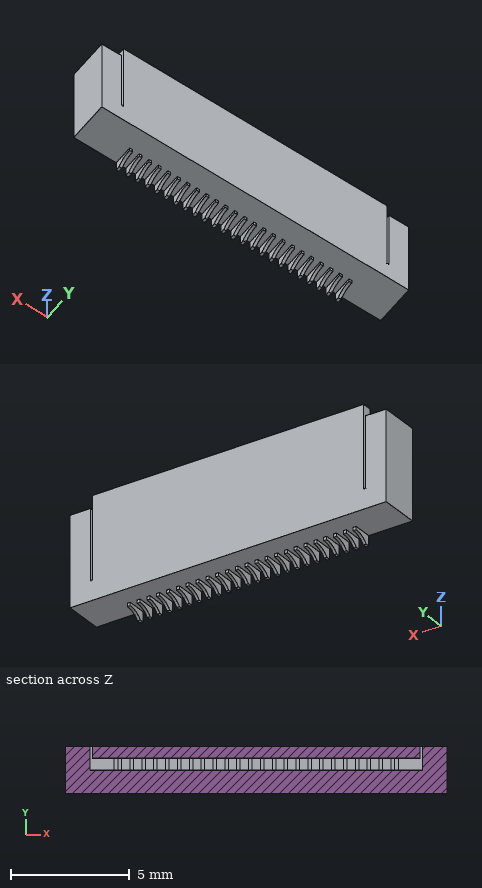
import cadquery as cq

housing_length = 16.1
housing_depth = 2.0
housing_height = 4.5
front_face = -housing_depth / 2
back_face = housing_depth / 2

slot_length = 14.0
slot_front = 0.0
floor_thickness = 1.0

bar_length = 13.81
bar_thickness = 0.5
bar_rise = 0.6
bar_front = back_face - bar_thickness

contact_count = 24
contact_row_length = 11.5
contact_pitch = contact_row_length / (contact_count - 1)
contact_thickness = 0.15
contact_centres = [
    (i - (contact_count - 1) / 2) * contact_pitch for i in range(contact_count)
]

recess_length = 12.0
recess_depth = 0.2

tail_drop = 0.5
tail_depth = 0.97
tail_toe_depth = 0.21
tail_heel_drop = 0.16
tail_arc_middle = (0.58, 0.23)


def box_between(length, y_front, y_back, z_bottom, z_top):
    """Box centred on X, given by its Y and Z limits."""
    return (
        cq.Workplane("XY")
        .box(length, y_back - y_front, z_top - z_bottom, centered=(True, False, False))
        .translate((0, y_front, z_bottom))
    )


def make_housing():
    housing = box_between(housing_length, front_face, back_face, 0, housing_height)
    slot = box_between(slot_length, slot_front, back_face, floor_thickness, housing_height)
    recess = box_between(
        recess_length, slot_front, bar_front, floor_thickness - recess_depth, floor_thickness
    )
    return housing.cut(slot).cut(recess)


def make_bar():
    return box_between(
        bar_length, bar_front, back_face, floor_thickness, housing_height + bar_rise
    )


def make_contact_top():
    """Upper end of one contact, flush with the slot floor."""
    return box_between(
        contact_thickness, slot_front, bar_front, floor_thickness - recess_depth, floor_thickness
    )


def make_tail():
    """Solder tail with a flat toe and a curved underside rising to the heel."""
    arc_middle_depth, arc_middle_drop = tail_arc_middle
    return (
        cq.Workplane("YZ")
        .moveTo(front_face, 0)
        .lineTo(front_face, -tail_drop)
        .lineTo(front_face + tail_toe_depth, -tail_drop)
        .threePointArc(
            (front_face + arc_middle_depth, -arc_middle_drop),
            (front_face + tail_depth, -tail_heel_drop),
        )
        .lineTo(front_face + tail_depth, 0)
        .close()
        .extrude(contact_thickness / 2, both=True)
    )


result = make_housing().union(make_bar())
contact_top = make_contact_top()
tail = make_tail()
for x in contact_centres:
    result = result.union(contact_top.translate((x, 0, 0)))
    result = result.union(tail.translate((x, 0, 0)))